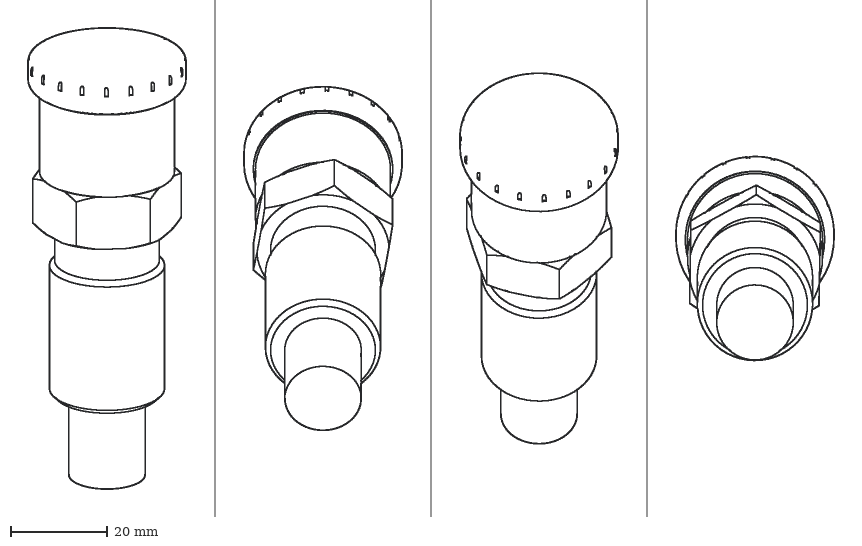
import cadquery as cq
import math


overall_height = 98.4
pin_edge_z = 1.7
thread_bottom_z = 20.0
thread_top_z = 49.9
hex_bottom_z = 58.0
hex_top_z = 69.9
collar_bottom_z = 88.6
head_bottom_z = 88.9
groove_bottom_z = 93.5
dome_edge_z = 96.0

pin_radius = 8.0
thread_radius = 12.0
thread_chamfer = 1.1
neck_radius = 10.9

hex_across_flats = 27.0
hex_corner_radius = hex_across_flats / math.sqrt(3)
hex_chamfer_radius = 13.8
hex_chamfer_angle = 30.0

sleeve_radius = 14.1
head_diameter = 33.0
head_radius = head_diameter / 2
head_lower_round = 2.0
head_upper_round = 1.5
collar_radius = head_radius - head_lower_round

groove_count = 20
groove_radius = 0.4
groove_depth = 0.3


def make_chamfered_hexagon():
    """Hexagon with corners on the X axis, its corners turned down to a cone at both ends."""
    hexagon = (
        cq.Workplane("XY", origin=(0, 0, hex_bottom_z))
        .polygon(6, 2 * hex_corner_radius)
        .extrude(hex_top_z - hex_bottom_z)
    )
    chamfer_width = hex_corner_radius - hex_chamfer_radius
    chamfer_height = chamfer_width * math.tan(math.radians(hex_chamfer_angle))
    turned_blank = (
        cq.Workplane("XZ")
        .moveTo(0, hex_bottom_z)
        .lineTo(hex_chamfer_radius, hex_bottom_z)
        .lineTo(hex_corner_radius, hex_bottom_z + chamfer_height)
        .lineTo(hex_corner_radius, hex_top_z - chamfer_height)
        .lineTo(hex_chamfer_radius, hex_top_z)
        .lineTo(0, hex_top_z)
        .close()
        .revolve(360, (0, 0), (0, 1))
    )
    return hexagon.intersect(turned_blank)


def make_shank():
    """Domed pin, chamfered thread cylinder and neck, turned as one profile."""
    tip_sphere_radius = (pin_radius**2 + pin_edge_z**2) / (2 * pin_edge_z)
    mid_radius = pin_radius / 2
    mid_z = tip_sphere_radius - math.sqrt(tip_sphere_radius**2 - mid_radius**2)
    chamfer_inner_radius = thread_radius - thread_chamfer
    return (
        cq.Workplane("XZ")
        .moveTo(0, 0)
        .threePointArc((mid_radius, mid_z), (pin_radius, pin_edge_z))
        .lineTo(pin_radius, thread_bottom_z)
        .lineTo(chamfer_inner_radius, thread_bottom_z)
        .lineTo(thread_radius, thread_bottom_z + thread_chamfer)
        .lineTo(thread_radius, thread_top_z - thread_chamfer)
        .lineTo(neck_radius, thread_top_z)
        .lineTo(neck_radius, hex_bottom_z)
        .lineTo(0, hex_bottom_z)
        .close()
        .revolve(360, (0, 0), (0, 1))
    )


def make_plunger_body():
    """Metal body: hexagon, neck, thread cylinder and pin."""
    return make_shank().union(make_chamfered_hexagon())


def make_knob_blank():
    """Mushroom knob: sleeve and collar below, rounded head with a domed top above."""
    dome_edge_radius = head_radius - head_upper_round
    dome_rise = overall_height - dome_edge_z
    dome_sphere_radius = (dome_edge_radius**2 + dome_rise**2) / (2 * dome_rise)
    mid_radius = dome_edge_radius / 2
    mid_drop = dome_sphere_radius - math.sqrt(dome_sphere_radius**2 - mid_radius**2)
    diagonal = math.sqrt(0.5)
    lower_round_center = (collar_radius, head_bottom_z + head_lower_round)
    upper_round_center = (dome_edge_radius, dome_edge_z - head_upper_round)
    lower_round_mid = (
        lower_round_center[0] + diagonal * head_lower_round,
        lower_round_center[1] - diagonal * head_lower_round,
    )
    upper_round_mid = (
        upper_round_center[0] + diagonal * head_upper_round,
        upper_round_center[1] + diagonal * head_upper_round,
    )
    return (
        cq.Workplane("XZ")
        .moveTo(0, hex_top_z)
        .lineTo(sleeve_radius, hex_top_z)
        .lineTo(sleeve_radius, collar_bottom_z)
        .lineTo(collar_radius, collar_bottom_z)
        .lineTo(collar_radius, head_bottom_z)
        .threePointArc(lower_round_mid, (head_radius, lower_round_center[1]))
        .lineTo(head_radius, upper_round_center[1])
        .threePointArc(upper_round_mid, (dome_edge_radius, dome_edge_z))
        .threePointArc((mid_radius, overall_height - mid_drop), (0, overall_height))
        .close()
        .revolve(360, (0, 0), (0, 1))
    )


def make_grip_grooves():
    """Upright round cutters that bite shallowly into the rim, running out through the top rounding."""
    groove_circle_radius = head_radius - groove_depth + groove_radius
    return (
        cq.Workplane("XY", origin=(0, 0, groove_bottom_z))
        .polarArray(groove_circle_radius, 0, 360, groove_count)
        .circle(groove_radius)
        .extrude(overall_height - groove_bottom_z)
    )


def make_knob():
    return make_knob_blank().cut(make_grip_grooves())


plunger_body = make_plunger_body()
knob = make_knob()

result = cq.Compound.makeCompound([plunger_body.val(), knob.val()])